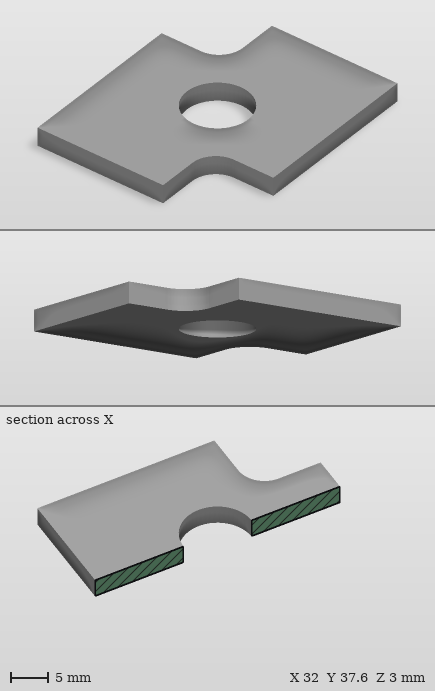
import cadquery as cq

width = 32.0
length = 37.6
thickness = 3

notch_width = width / 3
notch_length = 10.4
notch_radius = 4.0

hole_diameter = 10.4


def corner_notch(side):
    """Cutter for the corner at (-side, +side), with its inner corner rounded."""
    return (
        cq.Workplane("XY")
        .center(-side * width / 2, side * length / 2)
        .rect(2 * notch_width, 2 * notch_length)
        .extrude(thickness)
        .edges("|Z")
        .fillet(notch_radius)
    )


result = cq.Workplane("XY").box(width, length, thickness, centered=(True, True, False))

for side in (1, -1):
    result = result.cut(corner_notch(side))

result = result.faces(">Z").workplane(origin=(0, 0, thickness)).hole(hole_diameter)